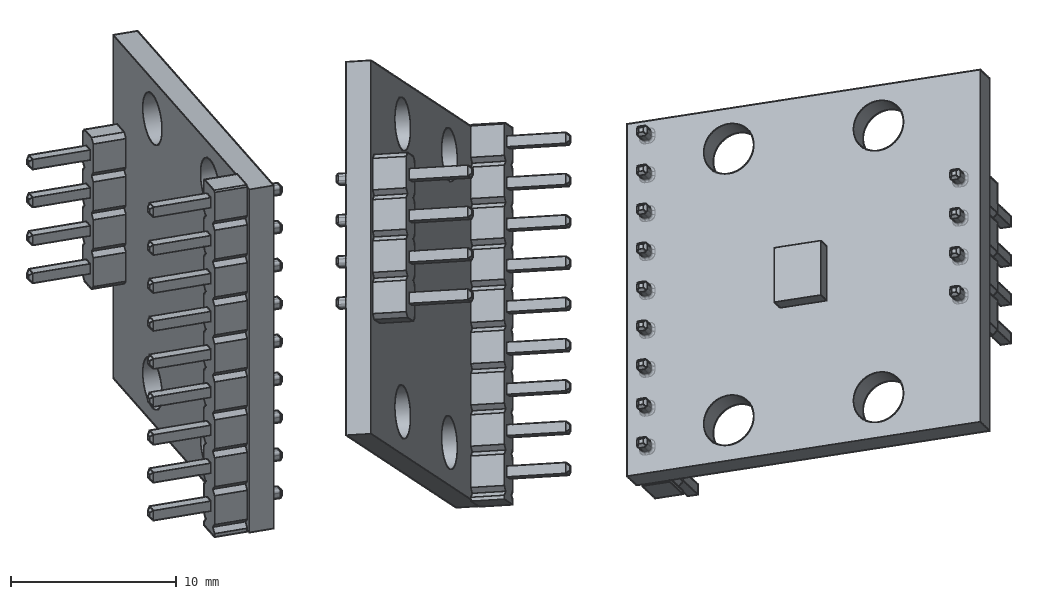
import cadquery as cq

BOARD_SIDE = 23.0
BOARD_THICKNESS = 1.58
HOLE_DIAMETER = 3.25
HOLE_SPACING_X = 9.75
HOLE_SPACING_Z = 17.72

BLOCK_WIDTH = 3.05
BLOCK_HEIGHT = 3.55
BLOCK_CENTER_Z = -0.28
BACK_PROJECTION = 0.97

PITCH = 2.54
HEADER_WIDTH = 1.8
HEADER_DEPTH = 2.1
HEADER_CHAMFER = 0.3
HEADER_X = 10.23
LEFT_PIN_COUNT = 4
LEFT_CENTER_Z = 0.75
RIGHT_PIN_COUNT = 9
RIGHT_CENTER_Z = 0.37
RIGHT_STRIP_LENGTH = 23.2

PIN_X = 10.18
PIN_SIDE = 0.67
PIN_PROJECTION = 3.9
PIN_TIP_CHAMFER = 0.19
STUB_CORNER_RADIUS = 0.2
SOLDER_FILLET = 0.16
PAD_MARGIN = 2 * SOLDER_FILLET


def pin_heights(count, center_z):
    """Z of every pin in a row, from the lowest up."""
    return [center_z + (i - (count - 1) / 2) * PITCH for i in range(count)]


def make_board():
    return (
        cq.Workplane("XZ")
        .box(BOARD_SIDE, BOARD_SIDE, BOARD_THICKNESS)
        .faces("<Y")
        .workplane(centerOption="CenterOfBoundBox")
        .rect(HOLE_SPACING_X, HOLE_SPACING_Z, forConstruction=True)
        .vertices()
        .hole(HOLE_DIAMETER)
        .translate((0, BOARD_THICKNESS / 2, 0))
    )


def make_block():
    return (
        cq.Workplane("XY")
        .box(BLOCK_WIDTH, BACK_PROJECTION, BLOCK_HEIGHT)
        .translate((0, BOARD_THICKNESS + BACK_PROJECTION / 2, BLOCK_CENTER_Z))
    )


def make_header(center_x, heights):
    """Row of chamfered cells, one per height, joined at their ends."""
    header = cq.Workplane("XY")
    for z in heights:
        cell = (
            cq.Workplane("XY")
            .box(HEADER_WIDTH, HEADER_DEPTH, PITCH)
            .edges("|Y")
            .chamfer(HEADER_CHAMFER)
            .translate((center_x, -HEADER_DEPTH / 2, z))
        )
        header = header.union(cell)
    return header


def make_right_header(pin_z):
    """Strip with one spare cell below the pins, cut off at both ends."""
    spare_z = pin_z[0] - PITCH
    strip = make_header(HEADER_X, [spare_z] + pin_z)
    kept_length = cq.Workplane("XY").box(BOARD_SIDE, BOARD_SIDE, RIGHT_STRIP_LENGTH)
    return strip.intersect(kept_length)


def make_front_pin():
    """Sharp-edged pin from the header face forward, with a pyramid tip."""
    return (
        cq.Workplane("XZ", origin=(0, -HEADER_DEPTH, 0))
        .rect(PIN_SIDE, PIN_SIDE)
        .extrude(PIN_PROJECTION)
        .faces("<Y")
        .chamfer(PIN_TIP_CHAMFER)
    )


def make_back_stub():
    """Rounded pin end behind the board, with a solder flare around its foot."""
    back_face = cq.Workplane("XZ", origin=(0, BOARD_THICKNESS, 0))
    square_stub = back_face.rect(PIN_SIDE, PIN_SIDE).extrude(-BACK_PROJECTION)
    tapered_stub = square_stub.faces(">Y").chamfer(PIN_TIP_CHAMFER)
    rounded_stub = square_stub.edges("|Y").fillet(STUB_CORNER_RADIUS)
    stub = tapered_stub.intersect(rounded_stub)

    pad_side = PIN_SIDE + 2 * PAD_MARGIN
    pad = back_face.rect(pad_side, pad_side).extrude(BOARD_THICKNESS)
    foot_reach = PIN_SIDE / 2 + PAD_MARGIN / 2
    foot_edges = cq.selectors.BoxSelector(
        (-foot_reach, BOARD_THICKNESS - SOLDER_FILLET, -foot_reach),
        (foot_reach, BOARD_THICKNESS + SOLDER_FILLET, foot_reach),
    )
    return pad.union(stub).edges(foot_edges).fillet(SOLDER_FILLET)


left_z = pin_heights(LEFT_PIN_COUNT, LEFT_CENTER_Z)
right_z = pin_heights(RIGHT_PIN_COUNT, RIGHT_CENTER_Z)

result = make_board().union(make_block())
result = result.union(make_header(-HEADER_X, left_z))
result = result.union(make_right_header(right_z))

pin = make_front_pin()
stub = make_back_stub()
pin_places = [(-PIN_X, 0, z) for z in left_z] + [(PIN_X, 0, z) for z in right_z]
for place in pin_places:
    result = result.union(pin.translate(place))
    result = result.union(stub.translate(place))